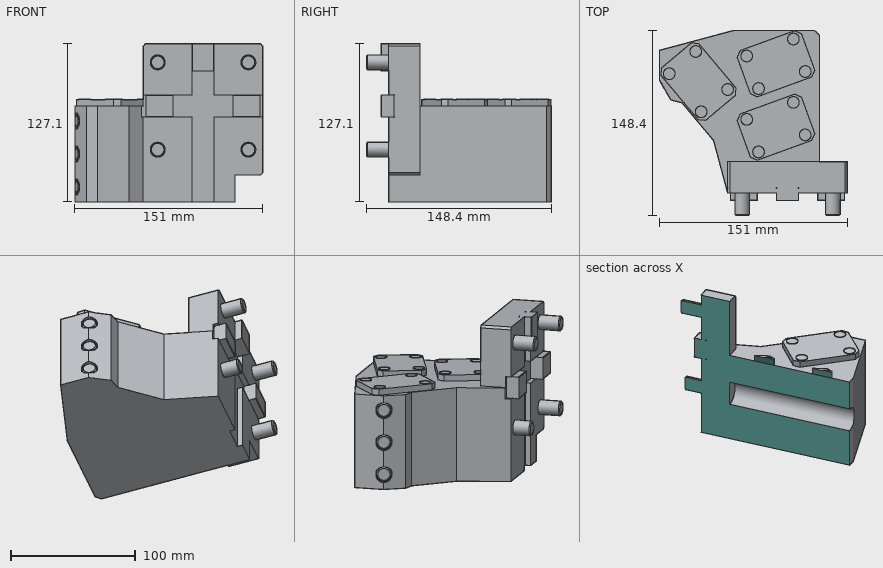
import cadquery as cq
import math


BLOCK_WIDTH = 128.7
BLOCK_DEPTH = 130.6
BLOCK_HEIGHT = 77.3
BLOCK_CORNER_CHAMFER = 4.0
LEFT_WALL_FRONT_Y = 90.8
BACK_WALL_LEFT_X = 59.3
BACK_SLOPE = 15
NOSE_X = 9.2
NOSE_SLOPE = 60
STEP_X = 18.3
STEP_SLOPE = 15
WAIST_Y = 42.3
FRONT_SLOPE = 75

FLANGE_LEFT = 54.8
FLANGE_RIGHT = 151.0
FLANGE_THICKNESS = 25.4
FLANGE_BOTTOM = 21.7
FLANGE_TOP = 127.1
FLANGE_CHAMFER = 2.0
FLANGE_CENTRE_X = (FLANGE_LEFT + FLANGE_RIGHT) / 2
CROSS_Z = 77.2

GROOVE_WIDTH = 18.0
GROOVE_DEPTH = 4.4
KEY_LENGTH = 21.7
KEY_PROJECTION = 6.0
KEY_CHAMFER = 0.5
SIDE_KEY_OFFSET = 35.0

BOLT_DIAMETER = 12.0
BOLT_TIP_CHAMFER = 0.9
BOLT_SPACING_X = 72.8
BOLT_SPACING_Z = 70.0
BOLT_PROJECTION = 17.8
SHORT_BOLT_PROJECTION = 14.3
BOLT_ACCESS_DIAMETER = 20.0

COVER_LENGTH = 55.0
COVER_WIDTH = 39.5
COVER_THICKNESS = 5.0
COVER_CHAMFER = 4.2
COVER_SCREW_SPACING_LONG = 39.9
COVER_SCREW_SPACING_SHORT = 27.8
SCREW_HEAD_DIAMETER = 9.4
SCREW_HEAD_PROJECTION = 0.5
COVER_PLACES = [(93.6, 103.9, 20), (93.6, 53.0, 20), (31.4, 89.5, -50)]

SET_SCREW_HOLE_DIAMETER = 13.0
SET_SCREW_DIAMETER = 12.0
SET_SCREW_CHAMFER = 1.0
SET_SCREW_PITCH = 26.5
SET_SCREW_Y = 90.3
SET_SCREW_RECESS = 1.4
SET_SCREW_HOLE_DEPTH = 5.0


def slope_rise(run, degrees):
    return run * math.tan(math.radians(degrees))


def box_between(x_range, y_range, z_range):
    size = [high - low for low, high in (x_range, y_range, z_range)]
    corner = (x_range[0], y_range[0], z_range[0])
    return cq.Workplane("XY").box(*size, centered=False).translate(corner)


def rod_along_y(x, z, y_start, y_end, diameter):
    rod = cq.Workplane("XZ").circle(diameter / 2).extrude(y_start - y_end)
    return rod.translate((x, y_start, z))


def make_block():
    nose_y = LEFT_WALL_FRONT_Y - slope_rise(NOSE_X, NOSE_SLOPE)
    waist_x = FLANGE_LEFT - WAIST_Y / math.tan(math.radians(FRONT_SLOPE))
    outline = [
        (FLANGE_LEFT, 0),
        (BLOCK_WIDTH, 0),
        (BLOCK_WIDTH, BLOCK_DEPTH - BLOCK_CORNER_CHAMFER),
        (BLOCK_WIDTH - BLOCK_CORNER_CHAMFER, BLOCK_DEPTH),
        (BACK_WALL_LEFT_X, BLOCK_DEPTH),
        (0, BLOCK_DEPTH - slope_rise(BACK_WALL_LEFT_X, BACK_SLOPE)),
        (0, LEFT_WALL_FRONT_Y),
        (NOSE_X, nose_y),
        (STEP_X, nose_y - slope_rise(STEP_X - NOSE_X, STEP_SLOPE)),
        (waist_x, WAIST_Y),
    ]
    return cq.Workplane("XY").polyline(outline).close().extrude(BLOCK_HEIGHT)


def make_flange():
    flange = box_between(
        (FLANGE_LEFT, FLANGE_RIGHT), (0, FLANGE_THICKNESS), (FLANGE_BOTTOM, FLANGE_TOP)
    )
    return flange.edges("|Y").edges(">Z or >X").chamfer(FLANGE_CHAMFER)


def make_groove_cross():
    half_width = GROOVE_WIDTH / 2
    depth_range = (0, GROOVE_DEPTH)
    upright = box_between(
        (FLANGE_CENTRE_X - half_width, FLANGE_CENTRE_X + half_width), depth_range, (0, FLANGE_TOP)
    )
    level = box_between(
        (0, FLANGE_RIGHT), depth_range, (CROSS_Z - half_width, CROSS_Z + half_width)
    )
    return upright.union(level)


def make_bolt_shank(x, z, projection):
    shank = rod_along_y(x, z, -projection, FLANGE_THICKNESS, BOLT_DIAMETER)
    return shank.faces("<Y").chamfer(BOLT_TIP_CHAMFER)


def make_cover(x, y, degrees):
    """Chamfered cover plate with four screw heads standing slightly proud of it."""
    plate = (
        cq.Workplane("XY")
        .rect(COVER_LENGTH, COVER_WIDTH)
        .extrude(COVER_THICKNESS)
        .edges("|Z")
        .chamfer(COVER_CHAMFER)
    )
    heads = (
        cq.Workplane("XY")
        .rect(COVER_SCREW_SPACING_LONG, COVER_SCREW_SPACING_SHORT, forConstruction=True)
        .vertices()
        .circle(SCREW_HEAD_DIAMETER / 2)
        .extrude(COVER_THICKNESS + SCREW_HEAD_PROJECTION)
    )
    cover = plate.union(heads)
    return cover.rotate((0, 0, 0), (0, 0, 1), degrees).translate((x, y, BLOCK_HEIGHT))


def add_set_screw(body, y, z):
    """Add a chamfered set screw in a wider hole, tilted midway between the left wall and the nose."""
    tilt = (90 - NOSE_SLOPE) / 2
    hole = cq.Workplane("YZ").circle(SET_SCREW_HOLE_DIAMETER / 2).extrude(SET_SCREW_HOLE_DEPTH)
    screw = (
        cq.Workplane("YZ", origin=(SET_SCREW_RECESS, 0, 0))
        .circle(SET_SCREW_DIAMETER / 2)
        .extrude(SET_SCREW_HOLE_DEPTH)
        .faces("<X")
        .chamfer(SET_SCREW_CHAMFER)
    )
    hole = hole.rotate((0, 0, 0), (0, 0, 1), tilt).translate((0, y, z))
    screw = screw.rotate((0, 0, 0), (0, 0, 1), tilt).translate((0, y, z))
    return body.cut(hole).union(screw)


def make_key(x, z, degrees):
    """Key centred on (x, z) in the groove; its length lies along X at 0 degrees."""
    key = cq.Workplane("XY").box(KEY_LENGTH, KEY_PROJECTION + GROOVE_DEPTH, GROOVE_WIDTH)
    key = key.edges("|X").chamfer(KEY_CHAMFER)
    middle_y = (GROOVE_DEPTH - KEY_PROJECTION) / 2
    return key.rotate((0, 0, 0), (0, 1, 0), degrees).translate((x, middle_y, z))


def make_housing():
    housing = make_block().union(make_flange()).cut(make_groove_cross())

    key_places = [
        (FLANGE_CENTRE_X - SIDE_KEY_OFFSET, CROSS_Z, 0),
        (FLANGE_CENTRE_X + SIDE_KEY_OFFSET, CROSS_Z, 0),
        (FLANGE_CENTRE_X, FLANGE_TOP - KEY_LENGTH / 2, 90),
    ]
    for x, z, degrees in key_places:
        housing = housing.union(make_key(x, z, degrees))

    left_bolt_x = FLANGE_CENTRE_X - BOLT_SPACING_X / 2
    right_bolt_x = FLANGE_CENTRE_X + BOLT_SPACING_X / 2
    lower_bolt_z = CROSS_Z - BOLT_SPACING_Z / 2
    upper_bolt_z = CROSS_Z + BOLT_SPACING_Z / 2

    bolt_access = rod_along_y(
        left_bolt_x, lower_bolt_z, FLANGE_THICKNESS, BLOCK_DEPTH, BOLT_ACCESS_DIAMETER
    )
    housing = housing.cut(bolt_access)

    bolts = [
        (left_bolt_x, lower_bolt_z, SHORT_BOLT_PROJECTION),
        (right_bolt_x, lower_bolt_z, BOLT_PROJECTION),
        (left_bolt_x, upper_bolt_z, BOLT_PROJECTION),
        (right_bolt_x, upper_bolt_z, BOLT_PROJECTION),
    ]
    for x, z, projection in bolts:
        housing = housing.union(make_bolt_shank(x, z, projection))

    for row in (-1, 0, 1):
        housing = add_set_screw(housing, SET_SCREW_Y, BLOCK_HEIGHT / 2 + row * SET_SCREW_PITCH)
    return housing


housing = make_housing()

covers = []
for x, y, degrees in COVER_PLACES:
    covers.append(make_cover(x, y, degrees))

result = cq.Compound.makeCompound([housing.val(), *[cover.val() for cover in covers]])